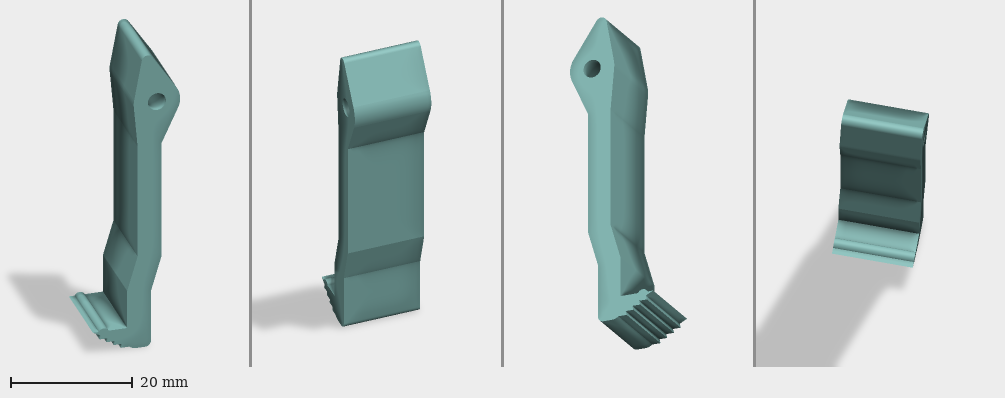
import cadquery as cq
import math

width = 13.5
total_depth = 15.0
total_height = 54.02
top_z = 8.82
bottom_z = top_z - total_height

pivot_hole_diameter = 3.1
pivot_radius = 4.0
tip_radius = 1.0
tip_y = -1.62
tip_z = top_z - tip_radius

arm_thickness = 4.1
arm_back_y = 0.78
arm_front_y = arm_back_y - arm_thickness
arm_top_z = -7.86
arm_offset = 1.8
lower_back_y = arm_back_y - arm_offset
lower_front_y = lower_back_y - arm_thickness
bend_front_top_z = -28.25
bend_front_bottom_z = -34.4
bend_angle = math.atan2(arm_offset, bend_front_top_z - bend_front_bottom_z)
bend_mitre = arm_thickness * math.tan(bend_angle / 2)
bend_back_top_z = bend_front_top_z - bend_mitre
bend_back_bottom_z = bend_front_bottom_z - bend_mitre

foot_top_z = -41.25
foot_tip_y = pivot_radius - total_depth
heel_radius = 1.0
bead_radius = 0.95
bead_y = -9.15
bead_height = 0.55

step_count = 4
first_riser_y = -9.88
first_tread_z = -42.64
step_run = 1.22
step_drop = 0.71
riser_lean = 0.18
last_tread_z = first_tread_z - (step_count - 1) * step_drop
nose_z = foot_top_z - 0.67

toe_radius = 2.0
toe_y = -4.75
toe_rise = last_tread_z - bottom_z
toe_angle = math.acos(1 - toe_rise / toe_radius)
sole_front_y = toe_y + toe_radius * math.sin(toe_angle)


def tangent_points(start, start_radius, end, end_radius):
    """Ends of the tangent line that keeps both circles on its right."""
    dy = end[0] - start[0]
    dz = end[1] - start[1]
    distance = math.hypot(dy, dz)
    angle = math.atan2(dz, dy) + math.acos((start_radius - end_radius) / distance)
    normal = (math.cos(angle), math.sin(angle))
    on_start = (start[0] + start_radius * normal[0], start[1] + start_radius * normal[1])
    on_end = (end[0] + end_radius * normal[0], end[1] + end_radius * normal[1])
    return on_start, on_end


def make_profile():
    pivot = (0, 0)
    tip = (tip_y, tip_z)
    front_arm_top = (arm_front_y, arm_top_z)
    back_arm_top = (arm_back_y, arm_top_z)

    _, front_low = tangent_points(front_arm_top, 0, pivot, pivot_radius)
    front_high, tip_front = tangent_points(pivot, pivot_radius, tip, tip_radius)
    tip_back, back_high = tangent_points(tip, tip_radius, pivot, pivot_radius)
    back_low, _ = tangent_points(pivot, pivot_radius, back_arm_top, 0)

    bead_half_chord = math.sqrt(bead_radius**2 - (bead_radius - bead_height) ** 2)
    heel_middle = heel_radius * (1 - math.sqrt(0.5))
    outline = (
        cq.Workplane("YZ")
        .moveTo(*front_arm_top)
        .lineTo(*front_low)
        .threePointArc((-pivot_radius, 0), front_high)
        .lineTo(*tip_front)
        .threePointArc((tip_y, top_z), tip_back)
        .lineTo(*back_high)
        .threePointArc((pivot_radius, 0), back_low)
        .lineTo(*back_arm_top)
        .lineTo(arm_back_y, bend_back_top_z)
        .lineTo(lower_back_y, bend_back_bottom_z)
        .lineTo(lower_back_y, bottom_z + heel_radius)
        .threePointArc(
            (lower_back_y - heel_middle, bottom_z + heel_middle),
            (lower_back_y - heel_radius, bottom_z),
        )
        .lineTo(sole_front_y, bottom_z)
    )
    toe_middle = (
        sole_front_y - toe_radius * math.sin(toe_angle / 2),
        bottom_z + toe_radius * (1 - math.cos(toe_angle / 2)),
    )
    outline = outline.threePointArc(toe_middle, (toe_y, last_tread_z))
    for step in reversed(range(step_count)):
        riser_y = first_riser_y + step * step_run
        tread_z = first_tread_z - step * step_drop
        riser_top_z = nose_z if step == 0 else tread_z + step_drop
        outline = outline.lineTo(riser_y, tread_z).lineTo(riser_y + riser_lean, riser_top_z)
    return (
        outline.lineTo(foot_tip_y, foot_top_z)
        .lineTo(bead_y - bead_half_chord, foot_top_z)
        .threePointArc((bead_y, foot_top_z + bead_height), (bead_y + bead_half_chord, foot_top_z))
        .lineTo(lower_front_y, foot_top_z)
        .lineTo(lower_front_y, bend_front_bottom_z)
        .lineTo(arm_front_y, bend_front_top_z)
        .close()
    )


def make_pivot_hole():
    return cq.Workplane("YZ").circle(pivot_hole_diameter / 2).extrude(width / 2, both=True)


result = make_profile().extrude(width / 2, both=True).cut(make_pivot_hole())